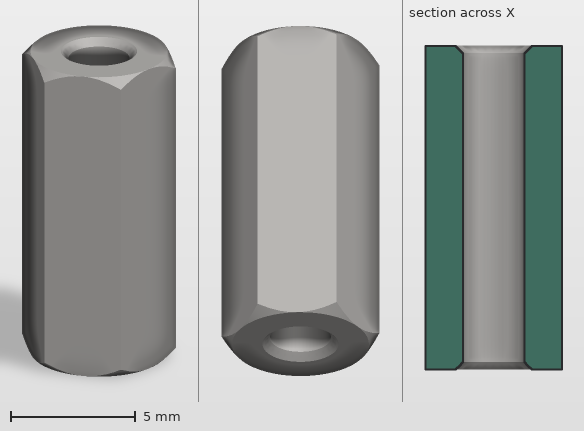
import cadquery as cq
import math

length = 13.0
across_flats = 5.5
bore_diameter = 2.46
countersink_diameter = 3.05

across_corners = across_flats / math.cos(math.radians(30))
corner_chamfer = (across_corners - across_flats) / 2
countersink_depth = (countersink_diameter - bore_diameter) / 2


def hexagonal_bar():
    """Hexagonal prism with two corners on the X axis."""
    return cq.Workplane("XY").polygon(6, across_corners).extrude(length / 2, both=True)


def corner_envelope():
    """Chamfered cylinder that bevels the hexagon corners at both ends."""
    cylinder = cq.Workplane("XY").circle(across_corners / 2).extrude(length / 2, both=True)
    return cylinder.edges("%CIRCLE").chamfer(corner_chamfer)


def drill_bore(body):
    """Through bore with a countersink at each end."""
    bored = body.faces(">Z").workplane(origin=(0, 0, 0)).hole(bore_diameter)
    bore_rims = bored.edges(cq.selectors.RadiusNthSelector(0))
    return bore_rims.chamfer(countersink_depth)


result = drill_bore(hexagonal_bar().intersect(corner_envelope()))